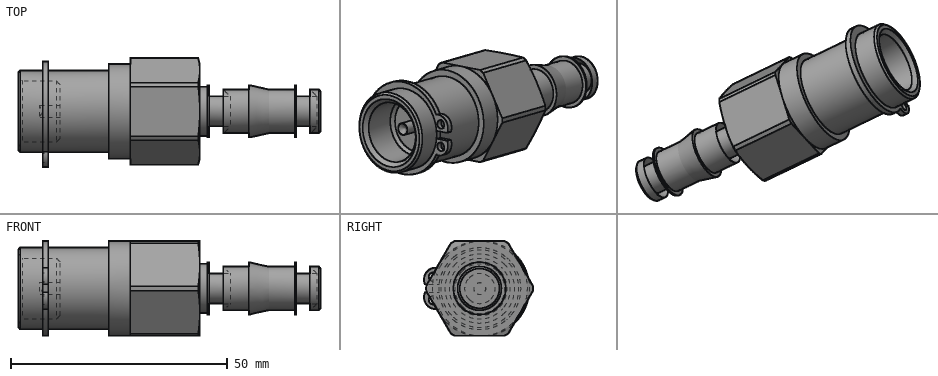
import cadquery as cq
import math

total_length = 70.0

body_diameter = 19.0
mouth_edge_diameter = 18.0
mouth_edge_chamfer = (body_diameter - mouth_edge_diameter) / 2
collar_start = 20.9
collar_diameter = 22.0

hex_start = 26.0
hex_end = 42.0
hex_across_flats = 22.0
hex_corner_diameter = 24.8
hex_end_chamfer_angle = 15.0

mouth_diameter = 16.0
cavity_diameter = 14.1
cavity_floor_diameter = 12.5
mouth_chamfer = (mouth_diameter - cavity_diameter) / 2
floor_chamfer = (cavity_diameter - cavity_floor_diameter) / 2
cavity_depth = 9.6
pin_diameter = 2.8
pin_tip = 4.8
pin_cone_diameter = 2.65
pin_cone_depth = 0.85

flange_diameter = 11.5
rim_diameter = 12.1
flange_rim_start = 43.75
flange_end = 44.2
neck_diameter = 7.0
barrel_diameter = 10.15
barrel_start = 47.4
barb_start = 53.35
barb_taper_start = 53.6
barb_end = 57.95
rear_rim_start = 64.0
rear_rim_end = 64.3
tip_start = 67.5
tip_chamfer = 0.5
undercut_depth = 1.6

ring_start = 5.7
ring_thickness = 1.3
ring_diameter = 22.0
ring_offset = 0.55
lug_radius = 2.8
lug_center_y = -10.1
lug_center_z = 2.0
lug_hole_diameter = 2.0
lug_hole_y = -10.7
lug_hole_z = 2.65
gap_width = 1.9
gap_depth = 5.6


def cylinder(start, end, diameter):
    """Solid cylinder on the X axis."""
    return cq.Workplane("YZ", origin=(start, 0, 0)).circle(diameter / 2).extrude(end - start)


def cone(start, end, start_diameter, end_diameter):
    """Solid truncated cone on the X axis; a zero end diameter gives a point."""
    outline = [(start, 0), (start, start_diameter / 2), (end, end_diameter / 2)]
    if end_diameter > 0:
        outline.append((end, 0))
    return cq.Workplane("XY").polyline(outline).close().revolve(360, (0, 0), (1, 0))


def make_socket():
    """Round body and collar with the outer mouth edge broken."""
    body = cylinder(0, collar_start, body_diameter).faces("<X").chamfer(mouth_edge_chamfer)
    return body.union(cylinder(collar_start, hex_start, collar_diameter))


def make_hexagon():
    """Hexagon with flats facing +Z and -Z, turned corners and a chamfered rear end."""
    corner_to_corner = hex_across_flats / math.cos(math.pi / 6)
    prism = cq.Workplane("YZ", origin=(hex_start, 0, 0)).polygon(6, corner_to_corner)
    prism = prism.extrude(hex_end - hex_start)
    chamfer_height = (hex_corner_diameter - hex_across_flats) / 2
    chamfer_length = chamfer_height * math.tan(math.radians(hex_end_chamfer_angle))
    chamfer_start = hex_end - chamfer_length
    blank = cylinder(hex_start, chamfer_start, hex_corner_diameter)
    blank = blank.union(cone(chamfer_start, hex_end, hex_corner_diameter, hex_across_flats))
    return prism.intersect(blank)


def make_undercut(shoulder):
    """Conical recess round the neck, opening to a sharp edge at a barrel shoulder."""
    recess_end = shoulder + undercut_depth
    recess = cone(shoulder, recess_end, barrel_diameter, neck_diameter)
    return recess.cut(cylinder(shoulder, recess_end, neck_diameter))


def make_hose_tail():
    """Flange, necks, barbed barrel and chamfered tip, undercut behind each neck."""
    tail = cylinder(hex_end, flange_rim_start, flange_diameter)
    tail = tail.union(cylinder(flange_rim_start, flange_end, rim_diameter))
    tail = tail.union(cylinder(flange_end, tip_start, neck_diameter))
    tail = tail.union(cylinder(barrel_start, rear_rim_start, barrel_diameter))
    tail = tail.union(cylinder(barb_start, barb_taper_start, rim_diameter))
    tail = tail.union(cone(barb_taper_start, barb_end, rim_diameter, barrel_diameter))
    tail = tail.union(cylinder(rear_rim_start, rear_rim_end, rim_diameter))
    tip = cylinder(tip_start, total_length, barrel_diameter).faces(">X").chamfer(tip_chamfer)
    tail = tail.union(tip)
    for shoulder in (barrel_start, tip_start):
        tail = tail.cut(make_undercut(shoulder))
    return tail


def make_cavity():
    """Countersunk cavity with a chamfered floor that leaves the hollow-ended pin standing."""
    cavity = cone(0, mouth_chamfer, mouth_diameter, cavity_diameter)
    floor_chamfer_start = cavity_depth - floor_chamfer
    cavity = cavity.union(cylinder(mouth_chamfer, floor_chamfer_start, cavity_diameter))
    cavity = cavity.union(cone(floor_chamfer_start, cavity_depth, cavity_diameter, cavity_floor_diameter))
    pin = cylinder(pin_tip, cavity_depth, pin_diameter)
    pin = pin.cut(cone(pin_tip, pin_tip + pin_cone_depth, pin_cone_diameter, 0))
    return cavity.cut(pin)


def make_retaining_ring():
    """Snap ring with two drilled lugs on the -Y side, separated by a gap."""
    plane = cq.Workplane("YZ", origin=(ring_start, 0, 0))
    ring = plane.center(ring_offset, 0).circle(ring_diameter / 2).extrude(ring_thickness)
    lug_places = [(lug_center_y, lug_center_z), (lug_center_y, -lug_center_z)]
    hole_places = [(lug_hole_y, lug_hole_z), (lug_hole_y, -lug_hole_z)]
    ring = ring.union(plane.pushPoints(lug_places).circle(lug_radius).extrude(ring_thickness))
    ring = ring.cut(plane.pushPoints(hole_places).circle(lug_hole_diameter / 2).extrude(ring_thickness))
    gap_center_y = -(body_diameter + gap_depth) / 2
    gap = plane.center(gap_center_y, 0).rect(gap_depth, gap_width).extrude(ring_thickness)
    bore = plane.circle(body_diameter / 2).extrude(ring_thickness)
    return ring.cut(gap).cut(bore)


result = make_socket().union(make_hexagon()).union(make_hose_tail())
result = result.cut(make_cavity()).union(make_retaining_ring())